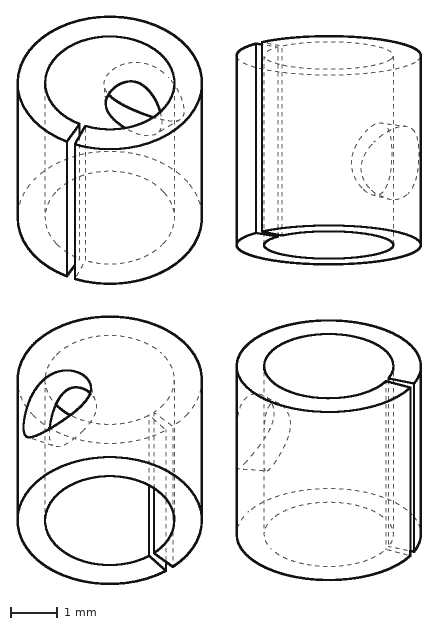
import cadquery as cq
import math

height = 4.2
outer_diameter = 4.0
inner_diameter = 2.8
hole_diameter = 1.6

slit_start_angle = -4.2
slit_end_angle = 1.3
slit_middle_angle = (slit_start_angle + slit_end_angle) / 2

outer_radius = outer_diameter / 2
inner_radius = inner_diameter / 2
wall = outer_radius - inner_radius
unrolled_radius = inner_radius + wall / 3
hole_radius = hole_diameter / 2
outline_steps = 24
cut_reach = outer_diameter
cutter_start = inner_radius / 2
cutter_end = outer_radius + wall / 3


def slit_point(angle):
    """Point on a slit face, beyond the outer wall."""
    turn = math.radians(angle)
    return (cut_reach * math.sin(turn), -cut_reach * math.cos(turn))


def make_tube():
    return cq.Workplane("XY").circle(outer_radius).circle(inner_radius).extrude(height)


def make_slit():
    """Wedge with its tip on the tube axis, open over the full height."""
    return (
        cq.Workplane("XY")
        .polyline([(0, 0), slit_point(slit_start_angle), slit_point(slit_end_angle)])
        .close()
        .extrude(height)
    )


def hole_outline(distance):
    """Closed hole outline on the plane at this distance from the tube axis.

    The hole is round when the wall is unrolled at unrolled_radius. Each point
    follows a level radial line, so the hole keeps its height and widens outwards.
    """
    def outline_point(t):
        turn_from_y = hole_radius * math.cos(2 * math.pi * t) / unrolled_radius
        rise = hole_radius * math.sin(2 * math.pi * t)
        return cq.Vector(distance * math.tan(turn_from_y), distance, height / 2 + rise)

    points = [outline_point(i / outline_steps) for i in range(outline_steps)]
    return cq.Wire.assembleEdges([cq.Edge.makeSpline(points, periodic=True)])


def make_cross_hole():
    """Flared cutter through the wall at mid height, straight across from the slit."""
    near_outline = hole_outline(cutter_start)
    far_outline = hole_outline(cutter_end)
    cutter = cq.Workplane(cq.Solid.makeLoft([near_outline, far_outline], True))
    return cutter.rotate((0, 0, 0), (0, 0, 1), slit_middle_angle)


result = make_tube().cut(make_slit()).cut(make_cross_hole())